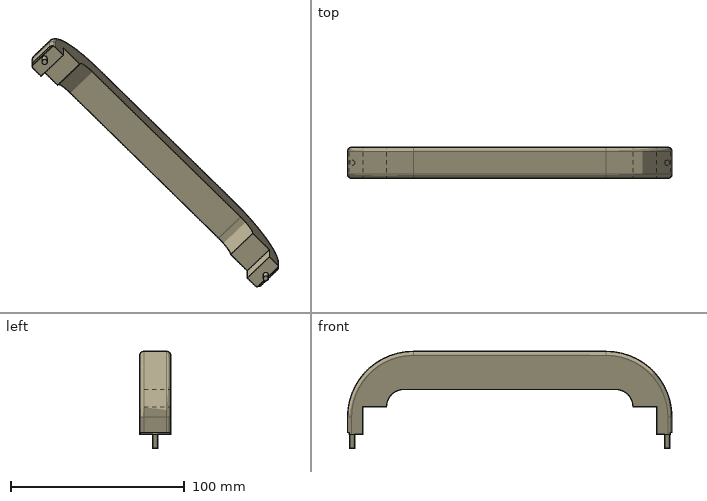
import cadquery as cq

length = 187.0
width = 18.0
overall_height = 56.0
pin_length = 8.0
leg_height = overall_height - pin_length
half_length = length / 2

corner_radius = 38.0
edge_round = 2.5
leg_thickness = 9.0
step_height = 15.9
shoulder_length = 13.7
grip_thickness = 22.0
inner_radius = leg_height - step_height - grip_thickness

relief_depth = 1.0
relief_height = 1.0

pin_diameter = 3.0
pin_inset = 2.8
pin_overlap = 1.9


def make_outer_block():
    """Arched block with the long outer edges rounded; leg bottoms lie at Z = 0."""
    block = cq.Workplane("XY").box(length, width, leg_height, centered=(True, True, False))
    block = block.edges("|Y and >Z").fillet(corner_radius)
    return block.faces(">Z").edges("|X").fillet(edge_round)


def make_hand_opening():
    """Opening between the legs, with a shoulder and a concave corner at each end."""
    leg_x = half_length - leg_thickness
    shoulder_x = leg_x - shoulder_length
    grip_z = leg_height - grip_thickness
    lower = cq.Workplane("XY").box(2 * leg_x, width, step_height, centered=(True, True, False))
    upper = cq.Workplane("XY").box(2 * shoulder_x, width, grip_z, centered=(True, True, False))
    upper = upper.edges("|Y and >Z").fillet(inner_radius)
    return lower.union(upper)


def make_relief_cutter(side):
    """Square-cut bar along the outer bottom edge of one leg."""
    center_x = side * (half_length - relief_depth / 2)
    return (
        cq.Workplane("XY", origin=(center_x, 0, 0))
        .box(relief_depth, width, relief_height, centered=(True, True, False))
    )


def make_pin(side):
    """Pin hanging below one leg, rooted inside the leg."""
    return (
        cq.Workplane("XY", origin=(side * (half_length - pin_inset), 0, -pin_length))
        .circle(pin_diameter / 2)
        .extrude(pin_length + pin_overlap)
    )


result = make_outer_block().cut(make_hand_opening())
for side in (-1, 1):
    result = result.cut(make_relief_cutter(side)).union(make_pin(side))